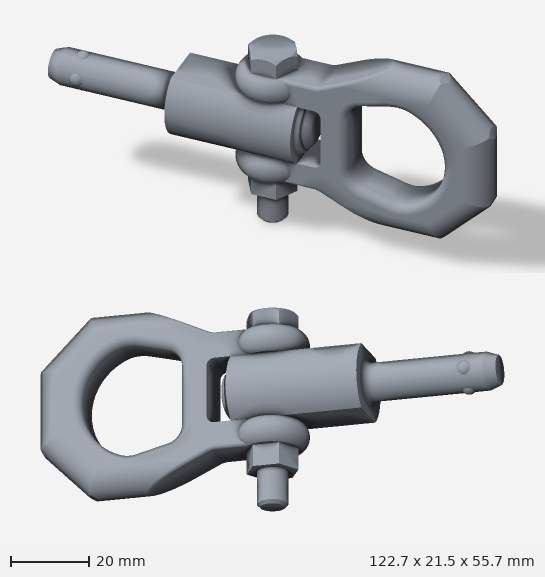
import cadquery as cq
import math


PIN_TIP_X = -60.9
SHANK_RADIUS = 5.0
TIP_RADIUS = 3.9
TIP_LENGTH = 3.1
BALL_X = -52.6
BALL_RADIUS = 2.2
BALL_OFFSET = 3.5
ROOT_FILLET = 1.5
BARREL_START_X = -25.6
BARREL_END_X = 9.3
BARREL_RADIUS = 21.5 / 2
BARREL_HALF_HEIGHT = 8.7
BUTTON_BASE_RADIUS = 8.6
BUTTON_SEAT_RADIUS = 7.6
BUTTON_SEAT_LENGTH = 1.0
BUTTON_NECK_RADIUS = 5.9
BUTTON_RIM_RADIUS = 6.5
BUTTON_RIM_LENGTH = 1.7
BUTTON_CROWN_RADIUS = 5.5
BUTTON_CROWN_LENGTH = 2.6
BUTTON_FACE_RADIUS = 4.0
BUTTON_LENGTH = 3.2

BOLT_RADIUS = 4.0
BOLT_END_Z = -31.2
BOLT_CHAMFER = 0.9
HEX_FLATS = 12.0
HEX_CORNER_RADIUS = HEX_FLATS / 2 / math.cos(math.pi / 6)
HEAD_HEIGHT = 5.0
NUT_HEIGHT = 5.8

EYE_HEIGHT = 7.1
EYE_RADIUS = 9.6
EYE_FACE_RADIUS = 7.6
EYE_TOP_Z = BARREL_HALF_HEIGHT + EYE_HEIGHT

HALF_THICKNESS = 6.1
RING_END_X = 61.8
RING_HALF_HEIGHT = 24.5
RING_SIDE_HALF = 10.8
ARM_HALF_HEIGHT = EYE_TOP_Z
ARM_BEND_X = 14.6
ARM_BEND_RADIUS = 4.9
SHOULDER_X = 33.4
ARM_EDGE_FILLET = 1.0
SLOT_END_X = 15.8
SLOT_CORNER_RADIUS = 2.0
CORNER_BEVEL = 1.6

WINDOW_LEFT_X = 23.0
WINDOW_HALF_SIDE = 7.9
WINDOW_CORNER_RADIUS = 4.9
WINDOW_SLOPE = math.radians(13.9)
WINDOW_SLOPE_LENGTH = 7.7
WINDOW_ARC_X = 34.4
WINDOW_ARC_RADIUS = 15.3
WINDOW_ARC_START = math.radians(19)
WINDOW_FILLET = 2.2

SELECTION_MARGIN = 0.1


def make_shank():
    """Stepped round shank, revolved about X, with a fillet where it meets the barrel."""
    fillet_start_x = BARREL_START_X - ROOT_FILLET
    root_radius = SHANK_RADIUS + ROOT_FILLET
    fillet_dip = ROOT_FILLET * math.sqrt(0.5)
    return (
        cq.Workplane("XY")
        .moveTo(PIN_TIP_X, 0)
        .lineTo(PIN_TIP_X, TIP_RADIUS)
        .lineTo(PIN_TIP_X + TIP_LENGTH, SHANK_RADIUS)
        .lineTo(fillet_start_x, SHANK_RADIUS)
        .threePointArc(
            (fillet_start_x + fillet_dip, root_radius - fillet_dip),
            (BARREL_START_X, root_radius),
        )
        .lineTo(BARREL_START_X, 0)
        .close()
        .revolve(360, (0, 0, 0), (1, 0, 0))
    )


def make_barrel():
    """Round barrel with two flats that face the shackle eyes."""
    length = BARREL_END_X - BARREL_START_X
    end_plane = cq.Workplane("YZ", origin=(BARREL_START_X, 0, 0))
    barrel = end_plane.circle(BARREL_RADIUS).extrude(length)
    between_flats = end_plane.rect(2 * BARREL_RADIUS, 2 * BARREL_HALF_HEIGHT).extrude(length)
    return barrel.intersect(between_flats)


def make_button():
    """Release button on the rear of the barrel: conical seat, narrow neck and rounded cap."""
    seat_x = BARREL_END_X + BUTTON_SEAT_LENGTH
    rim_x = BARREL_END_X + BUTTON_RIM_LENGTH
    crown_x = BARREL_END_X + BUTTON_CROWN_LENGTH
    face_x = BARREL_END_X + BUTTON_LENGTH
    return (
        cq.Workplane("XY")
        .moveTo(BARREL_END_X, 0)
        .lineTo(BARREL_END_X, BUTTON_BASE_RADIUS)
        .lineTo(seat_x, BUTTON_SEAT_RADIUS)
        .lineTo(seat_x, BUTTON_NECK_RADIUS)
        .lineTo(rim_x, BUTTON_NECK_RADIUS)
        .lineTo(rim_x, BUTTON_RIM_RADIUS)
        .threePointArc((crown_x, BUTTON_CROWN_RADIUS), (face_x, BUTTON_FACE_RADIUS))
        .lineTo(face_x, 0)
        .close()
        .revolve(360, (0, 0, 0), (1, 0, 0))
    )


def make_lock_pin():
    """Barrel, shank, button and four locking balls, with a cross hole for the bolt."""
    pin = make_barrel().union(make_shank()).union(make_button())
    ball = cq.Workplane("XY", origin=(BALL_X, 0, BALL_OFFSET)).sphere(BALL_RADIUS)
    for angle in (0, 90, 180, 270):
        pin = pin.union(ball.rotate((0, 0, 0), (1, 0, 0), angle))
    bolt_hole = cq.Workplane("XY").circle(BOLT_RADIUS).extrude(BARREL_RADIUS, both=True)
    return pin.cut(bolt_hole)


def make_eye(centre_z):
    """Barrel-shaped eye with a bulging rim, centred at the given height."""
    half = EYE_HEIGHT / 2
    eye = (
        cq.Workplane("XZ")
        .moveTo(0, -half)
        .lineTo(EYE_FACE_RADIUS, -half)
        .threePointArc((EYE_RADIUS, 0), (EYE_FACE_RADIUS, half))
        .lineTo(0, half)
        .close()
        .revolve(360, (0, 0, 0), (0, 1, 0))
    )
    return eye.translate((0, 0, centre_z))


def hexagon(bottom_z, height):
    """Hexagonal prism with corners on the X axis."""
    return cq.Workplane("XY", origin=(0, 0, bottom_z)).polygon(6, 2 * HEX_CORNER_RADIUS).extrude(height)


def make_bolt():
    """Bolt shaft, bevelled hexagon head and plain hexagon nut."""
    head_envelope = (
        cq.Workplane("XY", origin=(0, 0, EYE_TOP_Z))
        .circle(HEX_CORNER_RADIUS)
        .extrude(HEAD_HEIGHT)
        .faces(">Z")
        .chamfer(HEX_CORNER_RADIUS - HEX_FLATS / 2)
    )
    head = hexagon(EYE_TOP_Z, HEAD_HEIGHT).intersect(head_envelope)
    nut = hexagon(-EYE_TOP_Z - NUT_HEIGHT, NUT_HEIGHT)
    shaft = (
        cq.Workplane("XY", origin=(0, 0, BOLT_END_Z))
        .circle(BOLT_RADIUS)
        .extrude(EYE_TOP_Z - BOLT_END_Z)
        .faces("<Z")
        .chamfer(BOLT_CHAMFER)
    )
    return shaft.union(head).union(nut)


def make_ring_blank():
    """Slab with the arms, sloped shoulders and the half-octagon end."""
    corner_x = RING_END_X - (RING_HALF_HEIGHT - RING_SIDE_HALF)
    upper = [
        (0, ARM_HALF_HEIGHT),
        (ARM_BEND_X, ARM_HALF_HEIGHT),
        (SHOULDER_X, RING_HALF_HEIGHT),
        (corner_x, RING_HALF_HEIGHT),
        (RING_END_X, RING_SIDE_HALF),
    ]
    lower = [(x, -z) for x, z in reversed(upper)]
    blank = cq.Workplane("XZ").polyline(upper + lower).close().extrude(HALF_THICKNESS, both=True)
    for z in (ARM_HALF_HEIGHT, -ARM_HALF_HEIGHT):
        bend = cq.selectors.NearestToPointSelector((ARM_BEND_X, 0, z))
        blank = blank.edges("|Y").edges(bend).fillet(ARM_BEND_RADIUS)
    for x, z in ((corner_x, RING_HALF_HEIGHT), (RING_END_X, RING_SIDE_HALF)):
        for side in (1, -1):
            corner = cq.selectors.NearestToPointSelector((x, 0, side * z))
            blank = blank.edges("|Y").edges(corner).chamfer(CORNER_BEVEL)
    return blank


def round_bar(angle):
    """Round-nosed slab whose nose touches the ring side that faces the given angle from +X."""
    diagonal_reach = (RING_END_X + RING_SIDE_HALF) * math.sqrt(0.5)
    reach = {0: RING_END_X, 45: diagonal_reach, 90: RING_HALF_HEIGHT}[abs(angle)]
    nose_start = reach - HALF_THICKNESS
    length = 2 * RING_END_X
    slab = (
        cq.Workplane("XY", origin=(0, 0, -length))
        .moveTo(-length, -HALF_THICKNESS)
        .lineTo(nose_start, -HALF_THICKNESS)
        .threePointArc((reach, 0), (nose_start, HALF_THICKNESS))
        .lineTo(-length, HALF_THICKNESS)
        .close()
        .extrude(2 * length)
    )
    return slab.rotate((0, 0, 0), (0, 1, 0), -angle)


def make_window():
    """D-shaped opening through the ring."""
    corner_x = WINDOW_LEFT_X + WINDOW_CORNER_RADIUS
    slope_start = (
        corner_x - WINDOW_CORNER_RADIUS * math.sin(WINDOW_SLOPE),
        WINDOW_HALF_SIDE + WINDOW_CORNER_RADIUS * math.cos(WINDOW_SLOPE),
    )
    slope_end = (
        slope_start[0] + WINDOW_SLOPE_LENGTH * math.cos(WINDOW_SLOPE),
        slope_start[1] + WINDOW_SLOPE_LENGTH * math.sin(WINDOW_SLOPE),
    )
    arc_start = (
        WINDOW_ARC_X + WINDOW_ARC_RADIUS * math.sin(WINDOW_ARC_START),
        WINDOW_ARC_RADIUS * math.cos(WINDOW_ARC_START),
    )

    def below(point):
        return (point[0], -point[1])

    return (
        cq.Workplane("XZ")
        .moveTo(WINDOW_LEFT_X, -WINDOW_HALF_SIDE)
        .lineTo(WINDOW_LEFT_X, WINDOW_HALF_SIDE)
        .tangentArcPoint(slope_start, relative=False)
        .lineTo(*slope_end)
        .tangentArcPoint(arc_start, relative=False)
        .threePointArc((WINDOW_ARC_X + WINDOW_ARC_RADIUS, 0), below(arc_start))
        .tangentArcPoint(below(slope_end), relative=False)
        .lineTo(*below(slope_start))
        .tangentArcPoint((WINDOW_LEFT_X, -WINDOW_HALF_SIDE), relative=False)
        .close()
        .extrude(HALF_THICKNESS, both=True)
    )


def shoulder_rim(side_z):
    """Selector for the edges along both sides of one arm and round its sloped shoulder."""
    rim_end_x = SHOULDER_X - ARM_BEND_RADIUS
    low_z = side_z * (ARM_HALF_HEIGHT - SELECTION_MARGIN)
    high_z = side_z * RING_HALF_HEIGHT
    inner_y = HALF_THICKNESS / 2
    outer_y = HALF_THICKNESS + SELECTION_MARGIN
    back = cq.selectors.BoxSelector((0, inner_y, low_z), (rim_end_x, outer_y, high_z))
    front = cq.selectors.BoxSelector((0, -inner_y, low_z), (rim_end_x, -outer_y, high_z))
    return back + front


def window_rim():
    """Selector for the edges of the window on both flat faces of the ring."""
    right_x = WINDOW_ARC_X + WINDOW_ARC_RADIUS
    box = (
        (WINDOW_LEFT_X - SELECTION_MARGIN, -HALF_THICKNESS - SELECTION_MARGIN, -WINDOW_ARC_RADIUS),
        (right_x, HALF_THICKNESS + SELECTION_MARGIN, WINDOW_ARC_RADIUS),
    )
    return cq.selectors.BoxSelector(*box) - cq.selectors.ParallelDirSelector(cq.Vector(0, 1, 0))


def make_ring():
    """Round-edged half-octagon ring with its arms, softened shoulders and window."""
    ring = make_ring_blank()
    for angle in (-90, -45, 0, 45, 90):
        ring = ring.intersect(round_bar(angle))
    for side_z in (1, -1):
        ring = ring.edges(shoulder_rim(side_z)).fillet(ARM_EDGE_FILLET)
    ring = ring.cut(make_window())
    return ring.edges(window_rim()).fillet(WINDOW_FILLET)


def make_slot():
    """Space between the arms for the barrel, closed by the web of the ring."""
    length = SLOT_END_X + BARREL_RADIUS
    return (
        cq.Workplane("XZ")
        .center(SLOT_END_X - length / 2, 0)
        .rect(length, 2 * BARREL_HALF_HEIGHT)
        .extrude(BARREL_RADIUS, both=True)
        .edges("|Y and >X")
        .fillet(SLOT_CORNER_RADIUS)
    )


def make_shackle():
    """Ring and arms joined with the two eyes and the bolt that passes through them."""
    shackle = make_ring().cut(make_slot())
    eye_z = BARREL_HALF_HEIGHT + EYE_HEIGHT / 2
    for z in (eye_z, -eye_z):
        shackle = shackle.union(make_eye(z))
    return shackle.union(make_bolt())


lock_pin = make_lock_pin()
shackle = make_shackle()
result = cq.Compound.makeCompound([lock_pin.solids().val(), shackle.solids().val()])